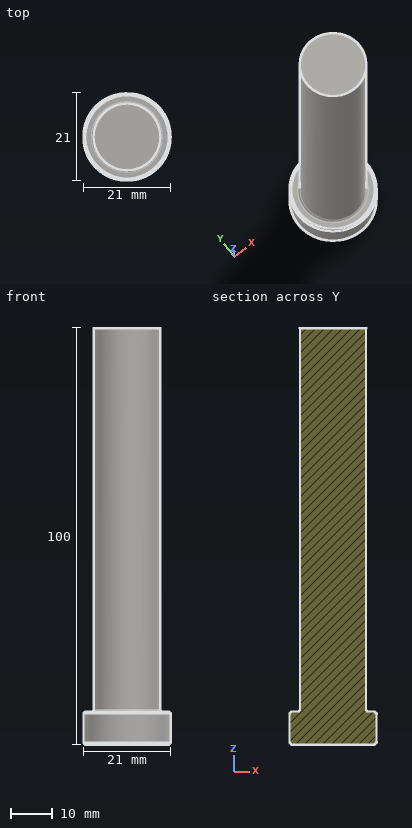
import cadquery as cq

total_length = 100.0
shank_diameter = 16.0
head_diameter = 21.0
head_height = 8.0
head_chamfer = 0.5
neck_fillet = 0.5

head = (
    cq.Workplane("XY")
    .circle(head_diameter / 2)
    .extrude(head_height)
    .edges()
    .chamfer(head_chamfer)
)
shank = cq.Workplane("XY").circle(shank_diameter / 2).extrude(total_length)

neck_corner = cq.selectors.RadiusNthSelector(0)
pin = head.union(shank)
result = pin.faces(cq.selectors.NearestToPointSelector((0, 0, head_height))).edges(neck_corner).fillet(neck_fillet)